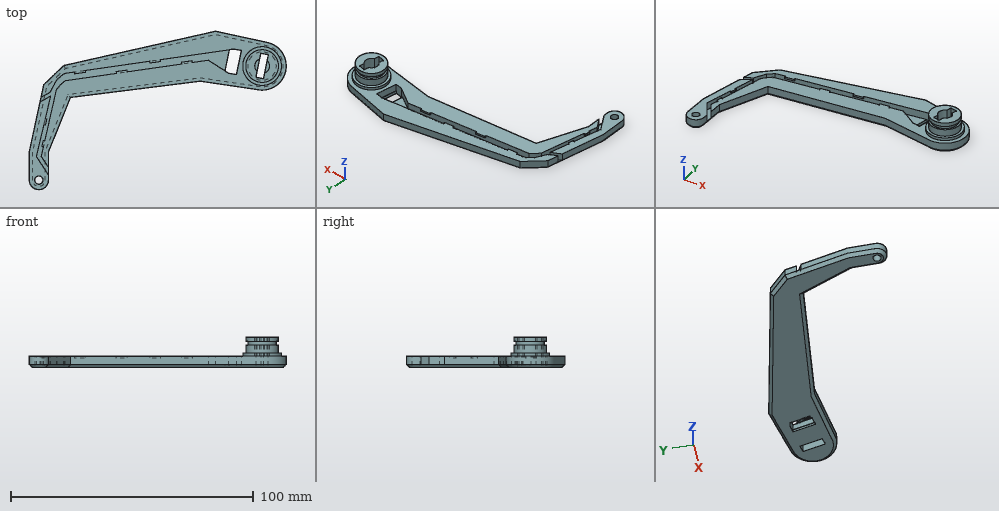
import cadquery as cq
import math


plate_thickness = 4.8
bottom_chamfer = 1.4
hub_end_radius = 10.0
hub_end_start_x = -2.5
hub_end_start = (hub_end_start_x, -math.sqrt(hub_end_radius**2 - hub_end_start_x**2))
upper_apex = (-19.2, 14.4)
upper_elbow = (-81.8, 0.25)
outer_elbow = (-90.1, -7.7)
inner_elbow = (-79.0, -13.0)
lower_bend = (-25.5, -6.3)

tip_center = (-92.09, -47.03)
tip_radius = 4.0
tip_hole_diameter = 3.3
tip_bend_y = -35.4

flange_radius = 8.0
flange_top = 6.1
hub_radius = 6.75
groove_radius = 5.85
groove_bottom = 9.3
groove_top = 10.9
hub_top = 12.6
socket_radius = 3.05

slot_tilt = -11.5
hub_slot_width = 3.1
hub_slot_length = 10.0
window_width = 4.8
window_length = 12.0
window_center = (-12.0, 1.9)

channel_floor = bottom_chamfer
channel_slope = 0.1435
tab_thickness = 0.8

long_arm_tab_length = 4.5
long_arm_tab_reach = 0.75
upper_wall_tabs = (5.7, 37.0)
lower_wall_tabs = (23.6, 50.7)
short_arm_tab_length = 2.6
short_arm_tab_reach = 0.65
left_wall_tab = 14.7
right_wall_tab = 22.9

upper_wall_start = (-80.8, -2.96)
upper_wall_end_x = -11.8
lower_wall_start = (-81.2, -6.07)
lower_wall_end_x = -22.2

left_wall_top = (-87.2, -12.3)
left_wall_bottom = (-93.1, -37.3)
right_wall_top = (-84.85, -9.74)
right_wall_bottom = (-91.1, -37.3)

outer_bend = [(-81.9, -3.3), (-84.6, -5.55), (-85.2, -6.55), (-87.5, -10.9)]
inner_bend = (-83.0, -7.55)

left_mouth = [(-93.0, -13.8), (-93.0, -15.7)]
right_mouth = [(-87.0, -46.65), (-87.0, -43.45)]

window_corners = [(-13.9, -2.9), (-10.5, -3.5), (-8.5, 6.4)]


def along_long_arm(start, x):
    """Point at x on a channel wall of the long arm that begins at start."""
    return (x, start[1] + channel_slope * (x - start[0]))


def tangent_point(point, radius):
    """Upper touching point of the line from an outside point on the left to the circle about the origin."""
    distance = math.hypot(*point)
    angle = math.atan2(point[1], point[0]) - math.acos(radius / distance)
    return (radius * math.cos(angle), radius * math.sin(angle))


def prism(points, bottom, top):
    return cq.Workplane("XY").workplane(offset=bottom).polyline(points).close().extrude(top - bottom)


def disc(radius, bottom, top):
    return cq.Workplane("XY").workplane(offset=bottom).circle(radius).extrude(top - bottom)


def make_plate():
    left = tip_center[0] - tip_radius
    right = tip_center[0] + tip_radius
    outline = (
        cq.Workplane("XY")
        .moveTo(*hub_end_start)
        .threePointArc((hub_end_radius, 0), tangent_point(upper_apex, hub_end_radius))
        .lineTo(*upper_apex)
        .lineTo(*upper_elbow)
        .lineTo(*outer_elbow)
        .lineTo(left, tip_bend_y)
        .lineTo(left, tip_center[1])
        .threePointArc((tip_center[0], tip_center[1] - tip_radius), (right, tip_center[1]))
        .lineTo(right, tip_bend_y)
        .lineTo(*inner_elbow)
        .lineTo(*lower_bend)
        .close()
    )
    plate = outline.extrude(plate_thickness).faces("<Z").chamfer(bottom_chamfer)
    tip_hole = disc(tip_hole_diameter / 2, 0, plate_thickness)
    return plate.cut(tip_hole.translate(tip_center))


def make_hub():
    hub = disc(flange_radius, 0, flange_top)
    hub = hub.union(disc(hub_radius, 0, groove_bottom))
    hub = hub.union(disc(groove_radius, 0, groove_top))
    return hub.union(disc(hub_radius, groove_top, hub_top))


def make_tilted_slot(center, width, length, height):
    slot = cq.Workplane("XY").rect(width, length).extrude(height)
    return slot.rotate((0, 0, 0), (0, 0, 1), slot_tilt).translate(center)


def make_channel(bottom):
    """Channel from the side opening round the elbow to the window, with a branch down the short arm."""
    points = [
        along_long_arm(upper_wall_start, upper_wall_end_x),
        upper_wall_start,
        *outer_bend,
        *left_mouth,
        left_wall_top,
        left_wall_bottom,
        *right_mouth,
        right_wall_bottom,
        right_wall_top,
        inner_bend,
        lower_wall_start,
        along_long_arm(lower_wall_start, lower_wall_end_x),
        *window_corners,
    ]
    return prism(points, bottom, plate_thickness)


def make_tab(wall_start, wall_end, center, length, reach):
    """Tab at the plate top, half in the wall and half over the channel.

    The center is the distance along the wall from wall_start.
    """
    heading = math.degrees(math.atan2(wall_end[1] - wall_start[1], wall_end[0] - wall_start[0]))
    tab = cq.Workplane("XY").box(length, 2 * reach, tab_thickness, centered=(True, True, False))
    tab = tab.translate((center, 0, plate_thickness - tab_thickness))
    return tab.rotate((0, 0, 0), (0, 0, 1), heading).translate(wall_start)


def make_tabs():
    upper_wall = (upper_wall_start, along_long_arm(upper_wall_start, upper_wall_end_x))
    lower_wall = (lower_wall_start, along_long_arm(lower_wall_start, lower_wall_end_x))
    left_wall = (left_wall_bottom, left_wall_top)
    right_wall = (right_wall_top, right_wall_bottom)
    tabs = []
    for wall, centers in ((upper_wall, upper_wall_tabs), (lower_wall, lower_wall_tabs)):
        for center in centers:
            tabs.append(make_tab(*wall, center, long_arm_tab_length, long_arm_tab_reach))
    for wall, center in ((left_wall, left_wall_tab), (right_wall, right_wall_tab)):
        tabs.append(make_tab(*wall, center, short_arm_tab_length, short_arm_tab_reach))
    return tabs


result = make_plate().cut(make_channel(channel_floor))
for tab in make_tabs():
    result = result.union(tab)

window = make_tilted_slot(window_center, window_width, window_length, plate_thickness)
result = result.cut(window.intersect(make_channel(0)))

result = result.union(make_hub())
result = result.cut(disc(socket_radius, plate_thickness, hub_top))
result = result.cut(make_tilted_slot((0, 0), hub_slot_width, hub_slot_length, hub_top))